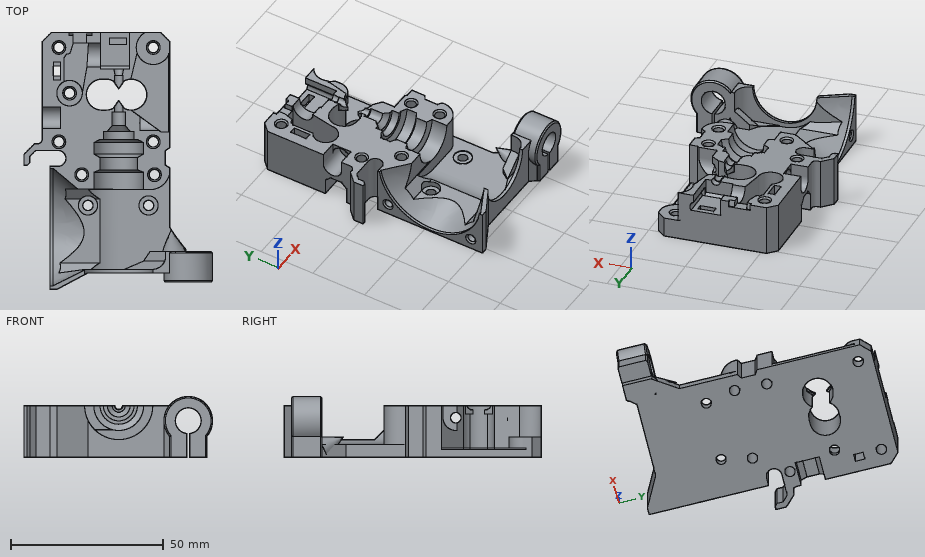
import cadquery as cq
import math


BODY_HEIGHT = 17.0
MOTOR_HALF = 21.0
NORTH_Y = 20.5
CORNER_CHAMFER = 3.1
SCREW_OFFSET = 15.5
FILAMENT_X = 4.15
OVERCUT = 1.0

SOUTH_Y = -58.6
WALL_THICKNESS = 1.2
WALL_INNER_Y = SOUTH_Y + WALL_THICKNESS
BLOCK_SOUTH_Y = -31.2
FAN_FACE_X = -18.45
FAN_TIP_Y = -64.0
DUCT_END_X = -6.85

CLAMP_X, CLAMP_Z = 27.0, -5.0
CLAMP_RADIUS = 8.0
CLAMP_BORE_DIAMETER = 8.4
CLAMP_LEG_HALF_WIDTH = 6.1
CLAMP_NORTH_Y = -51.6
CLAMP_LENGTH = 10.0
CLAMP_CHAMFER = 0.5
CLAMP_SLIT = 0.9

SCREW_DIAMETER = 3.4
SCREW_CHAMFER = 0.55

FLOOR_RADIUS = 12.8
FAN_FLOOR_Z = -11.2
FAN_CENTER_Y, FAN_CENTER_Z = -43.5, 3.1
FAN_SCREW_OFFSET = 16.0
PIVOT_X, PIVOT_Y = -12.0, 0.5

IDLER_BOSS_Z = -10.3
LEVER_FLOOR_Z = -14.0
PIVOT_FLOOR_Z = LEVER_FLOOR_Z - 0.2
FINGER_SOUTH_Y = 16.9
SENSOR_WEST, SENSOR_EAST = -1.86, 7.63
SCREW_AXIS_Y, SCREW_AXIS_Z = -7.6, -4.0


def prism(points, bottom, top):
    """Vertical prism over a plan outline."""
    return cq.Workplane("XY", origin=(0, 0, bottom)).polyline(points).close().extrude(top - bottom)


def box(x_range, y_range, z_range):
    """Box between the given limits."""
    corner = (x_range[0], y_range[0], z_range[0])
    lengths = [limits[1] - limits[0] for limits in (x_range, y_range, z_range)]
    return cq.Workplane("XY").box(*lengths, centered=False).translate(corner)


def post(x, y, radius, bottom, top):
    """Vertical cylinder."""
    return cq.Workplane("XY", origin=(x, y, bottom)).circle(radius).extrude(top - bottom)


def rod_x(y, z, radius, x_start, x_end):
    """Cylinder along X."""
    return cq.Workplane("YZ", origin=(x_start, y, z)).circle(radius).extrude(x_end - x_start)


def rod_y(x, z, radius, y_start, y_end):
    """Cylinder along Y, from y_start toward larger Y."""
    return cq.Workplane("XZ", origin=(x, y_start, z)).circle(radius).extrude(y_start - y_end)


def side_prism(points, x_start, x_end):
    """Prism along X over an outline of (y, z) points."""
    return cq.Workplane("YZ", origin=(x_start, 0, 0)).polyline(points).close().extrude(x_end - x_start)


def outer_body():
    slot_north, slot_south = -18.35, -23.5
    slot_radius = (slot_north - slot_south) / 2
    slot_center_x = -15.8
    slot_mid_y = (slot_north + slot_south) / 2
    notch_x = 19.5
    wall_west_x = -6.0
    tip_east_x = -16.15
    hook_west_x, hook_tip_y = -27.0, -23.2
    hook_bend_radius = 1.5
    outline = (
        cq.Workplane("XY", origin=(0, 0, -BODY_HEIGHT))
        .moveTo(-MOTOR_HALF + CORNER_CHAMFER, NORTH_Y)
        .lineTo(MOTOR_HALF - CORNER_CHAMFER, NORTH_Y)
        .lineTo(MOTOR_HALF, NORTH_Y - CORNER_CHAMFER)
        .lineTo(MOTOR_HALF, -17.4)
        .lineTo(notch_x, -18.4)
        .lineTo(notch_x, -23.1)
        .lineTo(MOTOR_HALF, -24.1)
        .lineTo(MOTOR_HALF, SOUTH_Y)
        .lineTo(wall_west_x, SOUTH_Y)
        .lineTo(tip_east_x, FAN_TIP_Y)
        .lineTo(FAN_FACE_X, FAN_TIP_Y)
        .lineTo(FAN_FACE_X, slot_south)
        .lineTo(slot_center_x, slot_south)
        .threePointArc((slot_center_x + slot_radius, slot_mid_y), (slot_center_x, slot_north))
        .lineTo(-23.1, slot_north)
        .lineTo(-25.0, -20.25)
        .lineTo(-25.0, -22.3)
        .lineTo(-25.9, hook_tip_y)
        .lineTo(hook_west_x, hook_tip_y)
        .lineTo(hook_west_x, -19.6)
        .lineTo(-23.5, -16.1)
        .lineTo(-22.5, -16.1)
        .radiusArc((-MOTOR_HALF, -14.6), -hook_bend_radius)
        .lineTo(-MOTOR_HALF, NORTH_Y - CORNER_CHAMFER)
        .close()
    )
    return outline.extrude(BODY_HEIGHT)


def rod_clamp():
    join_z = CLAMP_Z - math.sqrt(CLAMP_RADIUS**2 - CLAMP_LEG_HALF_WIDTH**2)
    left, right = CLAMP_X - CLAMP_LEG_HALF_WIDTH, CLAMP_X + CLAMP_LEG_HALF_WIDTH
    clamp = (
        cq.Workplane("XZ", origin=(0, CLAMP_NORTH_Y, 0))
        .moveTo(left, -BODY_HEIGHT)
        .lineTo(left, join_z)
        .threePointArc((CLAMP_X, CLAMP_Z + CLAMP_RADIUS), (right, join_z))
        .lineTo(right, -BODY_HEIGHT)
        .close()
        .extrude(CLAMP_LENGTH)
        .faces("<Y or >Y")
        .edges("not <Z")
        .chamfer(CLAMP_CHAMFER)
    )
    web_west_x, overlap = 19.1, 0.3
    web_south_y = CLAMP_NORTH_Y - CLAMP_LENGTH + CLAMP_CHAMFER
    web = prism(
        [(web_west_x, SOUTH_Y), (left + overlap, web_south_y), (left + OVERCUT, SOUTH_Y)],
        -BODY_HEIGHT,
        CLAMP_Z,
    )
    return clamp.union(web)


def clamp_openings():
    south_y = CLAMP_NORTH_Y - CLAMP_LENGTH - OVERCUT
    north_y = CLAMP_NORTH_Y + OVERCUT
    bore = rod_y(CLAMP_X, CLAMP_Z, CLAMP_BORE_DIAMETER / 2, south_y, north_y)
    slit = box(
        (CLAMP_X - CLAMP_SLIT / 2, CLAMP_X + CLAMP_SLIT / 2),
        (south_y, north_y),
        (-BODY_HEIGHT - OVERCUT, CLAMP_Z),
    )
    return bore.union(slit)


def clamp_gusset():
    """Tapered rib that braces the clamp against the east side."""
    base_radius, length = 4.1, 7.9
    base_center = cq.Vector(22.2, CLAMP_NORTH_Y, -13.9)
    axis = cq.Vector(-0.12, 1, 0.5)
    cone = cq.Workplane(cq.Solid.makeCone(base_radius, 0, length, pnt=base_center, dir=axis))
    foot = prism(
        [(18.1, CLAMP_NORTH_Y), (MOTOR_HALF, -43.7), (26.3, CLAMP_NORTH_Y)],
        -BODY_HEIGHT,
        -FLOOR_RADIUS,
    )
    keep = box((FILAMENT_X, CLAMP_X), (CLAMP_NORTH_Y - OVERCUT, BLOCK_SOUTH_Y), (-BODY_HEIGHT, 0))
    return cone.intersect(keep).union(foot)


def south_pocket():
    bend, wall_x = 4.4, 19.6
    corner = 6.5
    east = MOTOR_HALF + OVERCUT
    middle = math.sqrt(0.5)
    arc_x, arc_y = wall_x - bend, WALL_INNER_Y + bend
    block_x, block_y = MOTOR_HALF - corner, BLOCK_SOUTH_Y + corner
    flat_part = (
        cq.Workplane("XY", origin=(0, 0, -FLOOR_RADIUS))
        .moveTo(FILAMENT_X, WALL_INNER_Y)
        .lineTo(arc_x, WALL_INNER_Y)
        .threePointArc((arc_x + bend * middle, arc_y - bend * middle), (wall_x, arc_y))
        .lineTo(wall_x, CLAMP_NORTH_Y)
        .lineTo(east, CLAMP_NORTH_Y)
        .lineTo(east, block_y)
        .lineTo(MOTOR_HALF, block_y)
        .threePointArc((block_x + corner * middle, block_y - corner * middle), (block_x, BLOCK_SOUTH_Y))
        .lineTo(FILAMENT_X, BLOCK_SOUTH_Y)
        .close()
        .extrude(FLOOR_RADIUS + OVERCUT)
    )
    round_part = rod_y(FILAMENT_X, 0, FLOOR_RADIUS, WALL_INNER_Y, BLOCK_SOUTH_Y)
    round_part = round_part.intersect(
        box((-MOTOR_HALF, FILAMENT_X), (SOUTH_Y, 0), (-BODY_HEIGHT, OVERCUT))
    )
    return flat_part.union(round_part)


def wall_window():
    """Round opening through the south wall."""
    radius = 11.2
    return rod_y(FILAMENT_X, 0, radius, SOUTH_Y - OVERCUT, WALL_INNER_Y + OVERCUT)


def corner_ramp():
    """Low shelf and ramp left standing in the corner below the clamp."""
    west, east, edge_y, shelf_z, ramp_top = 12.3, 20.0, -54.7, -12.5, -6.5
    floor_z = -FLOOR_RADIUS - OVERCUT
    shelf = prism(
        [(6.0, WALL_INNER_Y), (west, edge_y), (east, edge_y), (east, WALL_INNER_Y)], floor_z, shelf_z
    )
    plan = prism(
        [(west, edge_y), (14.4, CLAMP_NORTH_Y), (east, CLAMP_NORTH_Y), (east, edge_y)], floor_z, 0
    )
    slope = (
        cq.Workplane("XZ", origin=(0, CLAMP_NORTH_Y, 0))
        .polyline([(west, floor_z), (west, shelf_z), (east, ramp_top), (east, floor_z)])
        .close()
        .extrude(CLAMP_NORTH_Y - edge_y)
    )
    return shelf.union(plan.intersect(slope))


def fan_funnel():
    inlet_radius, inlet_depth = 19.55, 1.0
    outlet_radius, outlet_y, outlet_z = 12.3, -45.3, 1.3
    outlet_x = DUCT_END_X
    inlet = rod_x(FAN_CENTER_Y, FAN_CENTER_Z, inlet_radius, FAN_FACE_X - OVERCUT, FAN_FACE_X + inlet_depth)
    taper_length = outlet_x - FAN_FACE_X - inlet_depth
    taper = (
        cq.Workplane("YZ", origin=(FAN_FACE_X + inlet_depth, FAN_CENTER_Y, FAN_CENTER_Z))
        .circle(inlet_radius)
        .workplane(offset=taper_length)
        .center(outlet_y - FAN_CENTER_Y, outlet_z - FAN_CENTER_Z)
        .circle(outlet_radius)
        .loft(ruled=True)
    )
    return inlet.union(taper)


def fan_channel():
    """Channel from the funnel to the hot end, bevelled along both sides of its floor."""
    relief, north_bevel = 0.2, 3.3
    floor_south_y = -55.3
    west_x, east_x, flare = -17.0, 2.4, 1.4
    flare_south_y = WALL_INNER_Y - flare
    north_y = BLOCK_SOUTH_Y + relief
    south_bevel = floor_south_y - flare_south_y
    profile = [
        (north_y, OVERCUT),
        (north_y, FAN_FLOOR_Z + north_bevel),
        (north_y - north_bevel, FAN_FLOOR_Z),
        (floor_south_y, FAN_FLOOR_Z),
        (flare_south_y, FAN_FLOOR_Z + south_bevel),
        (flare_south_y, OVERCUT),
    ]
    plan = [
        (west_x, flare_south_y),
        (DUCT_END_X, WALL_INNER_Y),
        (east_x, WALL_INNER_Y),
        (east_x, north_y),
        (west_x, north_y),
    ]
    return side_prism(profile, west_x, east_x).intersect(prism(plan, -BODY_HEIGHT, OVERCUT))


def fan_screw_holes():
    diameter, chamfer, depth = 2.8, 0.55, 4.5
    z = FAN_CENTER_Z - FAN_SCREW_OFFSET
    holes = cq.Workplane("XY")
    for side in (-1, 1):
        y = FAN_CENTER_Y + side * FAN_SCREW_OFFSET
        hole = rod_x(y, z, diameter / 2, FAN_FACE_X, FAN_FACE_X + depth)
        mouth = cq.Workplane(
            cq.Solid.makeCone(
                diameter / 2 + chamfer,
                diameter / 2,
                chamfer,
                pnt=cq.Vector(FAN_FACE_X, y, z),
                dir=cq.Vector(1, 0, 0),
            )
        )
        holes = holes.add(hole.union(mouth))
    return holes.combine()


def filament_bore():
    """Turned outline along Y, given as (y, radius) stations."""
    stations = [
        (8.6, 1.6),
        (6.25, 1.2),
        (6.25, 1.4),
        (-5.7, 1.4),
        (-5.7, 2.15),
        (-10.15, 2.15),
        (-12.05, 3.75),
        (-12.05, 5.05),
        (-14.7, 5.05),
        (-14.7, 6.15),
        (-15.8, 8.2),
        (-19.45, 8.2),
        (-20.65, 6.15),
        (-24.7, 6.15),
        (-25.5, 8.2),
        (BLOCK_SOUTH_Y - OVERCUT, 8.2),
    ]
    outline = [(radius, y) for y, radius in stations]
    outline = [(0, stations[0][0])] + outline + [(0, stations[-1][0])]
    bore = cq.Workplane("XY").polyline(outline).close().revolve(360, (0, 0, 0), (0, 1, 0))
    return bore.translate((FILAMENT_X, 0, 0))


def gear_openings():
    radius, shaft_clearance = 5.05, 1.4
    height = (-BODY_HEIGHT - OVERCUT, OVERCUT)
    idler = post(2 * FILAMENT_X, 0, radius, *height)
    drive = post(0, 0, radius, *height).union(post(-shaft_clearance, 0, radius, *height))
    drive = drive.union(box((-shaft_clearance, 0), (-radius, radius), height))
    return idler.union(drive)


def guide_tips():
    """Pointed ends of the filament guide on both sides of the gear gap."""
    tip_y, root_y, half_width, depth = 1.9, 4.4, 1.75, 2.8
    tips = cq.Workplane("XY")
    for side in (-1, 1):
        outline = [
            (FILAMENT_X, side * tip_y),
            (FILAMENT_X - half_width, side * root_y),
            (FILAMENT_X + half_width, side * root_y),
        ]
        tips = tips.add(prism(outline, -depth, 0))
    return tips.combine()


def idler_recess():
    boss_radius, boss_z, floor_z = 5.6, IDLER_BOSS_Z, -14.0
    south_y = -12.35
    edge_step = 0.5
    east = MOTOR_HALF + OVERCUT
    recess = prism(
        [
            (10.1, 13.3),
            (8.1, 5.0),
            (6.5, 0),
            (8.1, -5.0),
            (18.2, south_y),
            (east, south_y),
            (east, SCREW_OFFSET),
        ],
        floor_z,
        OVERCUT,
    )
    boss = post(SCREW_OFFSET, SCREW_OFFSET, boss_radius, floor_z, boss_z)
    above_boss = post(SCREW_OFFSET, SCREW_OFFSET, boss_radius, boss_z, OVERCUT)
    above_corner = box((SCREW_OFFSET, east), (SCREW_OFFSET, NORTH_Y + OVERCUT), (boss_z, OVERCUT))
    edge = box(
        (MOTOR_HALF - edge_step, east), (south_y, SCREW_OFFSET), (floor_z - edge_step, OVERCUT)
    )
    return recess.union(edge).cut(boss).union(above_boss).union(above_corner)


def tension_screw_cuts():
    seat_radius, seat_end = 3.5, -15.0
    outlet_start, outlet_end, outlet_radius = 11.1, 18.0, 4.2
    blind_depth = 4.0
    west, east = -MOTOR_HALF - OVERCUT, MOTOR_HALF - 2 * OVERCUT

    def open_slot(radius, x_start, x_end):
        y_limits = (SCREW_AXIS_Y - radius, SCREW_AXIS_Y + radius)
        upper = box((x_start, x_end), y_limits, (SCREW_AXIS_Z, OVERCUT))
        return rod_x(SCREW_AXIS_Y, SCREW_AXIS_Z, radius, x_start, x_end).union(upper)

    shank = rod_x(SCREW_AXIS_Y, SCREW_AXIS_Z, SCREW_DIAMETER / 2, west, east)
    outlet = open_slot(outlet_radius, outlet_start, outlet_end)
    seat = open_slot(seat_radius, west, seat_end)
    deep_seat = rod_x(SCREW_AXIS_Y, SCREW_AXIS_Z, seat_radius, west, seat_end + blind_depth)
    return shank.union(seat).union(deep_seat).union(outlet)


def west_pocket():
    """Pocket with a chamfered roof, open to the west face and the underside."""
    north, south, roof_z, bevel, depth = -4.9, -13.1, -9.0, 2.0, 8.0
    profile = [
        (north, -BODY_HEIGHT - OVERCUT),
        (north, roof_z - bevel),
        (north - bevel, roof_z),
        (south + bevel, roof_z),
        (south, roof_z - bevel),
        (south, -BODY_HEIGHT - OVERCUT),
    ]
    return side_prism(profile, -MOTOR_HALF - OVERCUT, -MOTOR_HALF + depth)


def lever_pocket():
    pivot_radius = 4.2
    channel_west, channel_east, channel_z = -10.8, -6.5, -2.0
    arm = prism(
        [
            (channel_west, FINGER_SOUTH_Y),
            (-11.9, 13.45),
            (-13.0, 13.4),
            (-13.9, 12.0),
            (-13.9, PIVOT_Y),
            (-7.8, PIVOT_Y),
            (-6.3, 9.1),
            (-5.8, FINGER_SOUTH_Y),
        ],
        LEVER_FLOOR_Z,
        OVERCUT,
    )
    pivot = post(PIVOT_X, PIVOT_Y, pivot_radius, PIVOT_FLOOR_Z, OVERCUT)
    channel = box((channel_west, channel_east), (FINGER_SOUTH_Y, NORTH_Y + OVERCUT), (channel_z, OVERCUT))
    notch_profile = [
        (NORTH_Y + OVERCUT, OVERCUT),
        (19.4, OVERCUT),
        (19.4, 0),
        (20.0, channel_z),
        (NORTH_Y + OVERCUT, channel_z),
    ]
    notch = side_prism(notch_profile, -12.25, -4.6)
    return arm.union(pivot).union(channel).union(notch)


def spring_groove():
    radius = (FINGER_SOUTH_Y - 9.05) / 2
    west_x = -9.0
    return rod_x(FINGER_SOUTH_Y - radius, 0, radius, west_x, SENSOR_WEST)


def sensor_pocket():
    floor_z, south, bevel = -5.7, 8.5, 0.9
    north = NORTH_Y + OVERCUT
    profile = [
        (north, OVERCUT),
        (south, OVERCUT),
        (south, floor_z + bevel),
        (south + bevel, floor_z),
        (north, floor_z),
    ]
    pocket = side_prism(profile, SENSOR_WEST, SENSOR_EAST)
    groove_x, groove_z, groove_radius = 6.9, -4.5, 1.95
    undercut = rod_y(groove_x, groove_z, groove_radius, south + bevel, north)
    undercut = undercut.intersect(box((SENSOR_WEST, MOTOR_HALF), (0, north), (floor_z, 0)))
    slot_depth = 3.0
    slot = box((1.2, 6.7), (16.4, 18.6), (floor_z - slot_depth, 0))
    return pocket.union(undercut).union(slot)


def nut_slot():
    x_limits = (-17.35, -15.0)
    ledge_z = -5.0
    upper = box(x_limits, (4.8, 10.8), (ledge_z, OVERCUT))
    through = box(x_limits, (6.2, 9.4), (-BODY_HEIGHT - OVERCUT, OVERCUT))
    return upper.union(through)


def chamfered_hole(x, y, top_z):
    radius = SCREW_DIAMETER / 2
    hole = post(x, y, radius, -BODY_HEIGHT - OVERCUT, OVERCUT)
    mouth = cq.Workplane(
        cq.Solid.makeCone(
            radius, radius + SCREW_CHAMFER, SCREW_CHAMFER, pnt=cq.Vector(x, y, top_z - SCREW_CHAMFER)
        )
    )
    return hole.union(mouth)


def screw_holes():
    holes = [
        (-SCREW_OFFSET, SCREW_OFFSET, 0),
        (-SCREW_OFFSET, -SCREW_OFFSET, 0),
        (SCREW_OFFSET, -SCREW_OFFSET, 0),
        (SCREW_OFFSET, SCREW_OFFSET, IDLER_BOSS_Z),
        (-8.0, -26.3, 0),
        (15.9, -26.3, 0),
        (PIVOT_X, PIVOT_Y, PIVOT_FLOOR_Z),
    ]
    cutters = cq.Workplane("XY")
    for x, y, top_z in holes:
        cutters = cutters.add(chamfered_hole(x, y, top_z))
    return cutters.combine()


def floor_holes():
    diameter, head_diameter, head_z, y = 3.3, 6.3, -13.1, -36.4
    head_top_z = FAN_FLOOR_Z + 2.0
    cutters = cq.Workplane("XY")
    for x in (-5.95, 13.95):
        hole = post(x, y, diameter / 2, -BODY_HEIGHT - OVERCUT, head_z)
        head = post(x, y, head_diameter / 2, head_z, head_top_z)
        cutters = cutters.add(hole.union(head))
    return cutters.combine()


base = outer_body().union(rod_clamp()).cut(south_pocket()).cut(fan_channel())
base = base.union(corner_ramp()).union(clamp_gusset())
base = base.cut(gear_openings()).union(guide_tips())

cuts = [
    wall_window(),
    clamp_openings(),
    fan_funnel(),
    fan_screw_holes(),
    filament_bore(),
    idler_recess(),
    tension_screw_cuts(),
    west_pocket(),
    lever_pocket(),
    spring_groove(),
    sensor_pocket(),
    nut_slot(),
    screw_holes(),
    floor_holes(),
]
result = base
for cutter in cuts:
    result = result.cut(cutter)